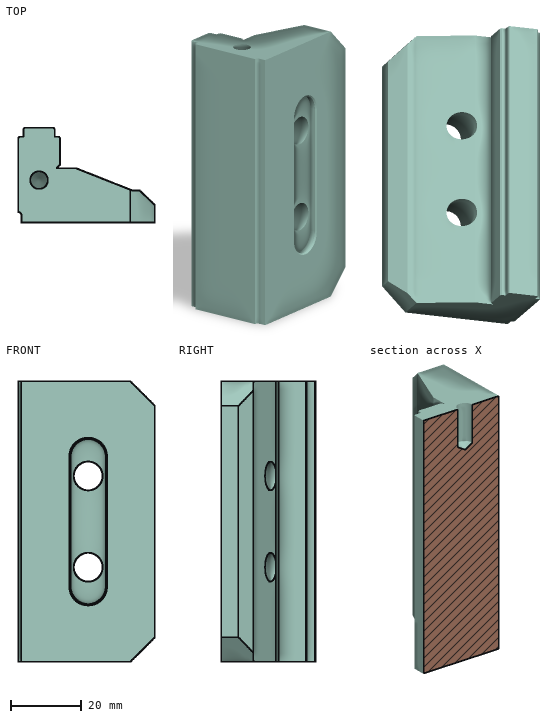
import cadquery as cq
import math

width = 39.0
depth = 27.0
height = 80.0

leg_width = 12.0
tongue_inset = 1.5
tongue_length = 2.6
edge_chamfer = 0.4
shoulder_y = depth - tongue_length

step_radius = 1.0
step_bottom = 2.0
step_top = step_bottom + step_radius

foot_y = 15.5
undercut_width = 1.0
undercut_height = 1.0
slope_start_x = 16.5
slope_end_x = 32.5
toe_y = 9.2
toe_flat_end_x = 34.6
toe_tip_y = 5.0
corner_cut = 7.0

slot_x = 20.0
slot_width = 10.0
slot_length = 47.0
slot_depth = 2.0
slot_chamfer = 0.4
hole_diameter = 8.2
hole_spacing = 26.0

end_hole_x = 6.0
end_hole_y = 12.1
end_hole_diameter = 5.0
end_hole_depth = 12.0
drill_point_angle = 118.0


def make_body():
    tongue_left = tongue_inset
    tongue_right = leg_width - tongue_inset
    outline = [
        (step_radius, 0),
        (width, 0),
        (width, toe_tip_y),
        (toe_flat_end_x, toe_y),
        (slope_end_x, toe_y),
        (slope_start_x, foot_y),
        (leg_width - undercut_width, foot_y),
        (leg_width, foot_y + undercut_height),
        (leg_width, shoulder_y - edge_chamfer),
        (leg_width - edge_chamfer, shoulder_y),
        (tongue_right, shoulder_y),
        (tongue_right, depth - edge_chamfer),
        (tongue_right - edge_chamfer, depth),
        (tongue_left + edge_chamfer, depth),
        (tongue_left, depth - edge_chamfer),
        (tongue_left, shoulder_y),
        (edge_chamfer, shoulder_y),
        (0, shoulder_y - edge_chamfer),
        (0, step_top),
    ]
    arc_offset = step_radius * math.sqrt(0.5)
    arc_middle = (arc_offset, step_bottom + arc_offset)
    profile = cq.Workplane("XY").polyline(outline)
    profile = profile.threePointArc(arc_middle, (step_radius, step_bottom)).close()
    body = profile.extrude(height)
    return body.translate((0, 0, -height / 2))


def corner_cutter(side):
    """Triangular prism removing the toe corner at the +Z or -Z end."""
    end_z = side * height / 2
    triangle = [
        (width - corner_cut, end_z),
        (width, end_z),
        (width, end_z - side * corner_cut),
    ]
    return cq.Workplane("XZ").polyline(triangle).close().extrude(-depth)


def make_slot():
    front = cq.Workplane("XZ").center(slot_x, 0)
    pocket = front.slot2D(slot_length, slot_width, 90).extrude(-slot_depth)
    mouth = front.slot2D(
        slot_length + 2 * slot_chamfer, slot_width + 2 * slot_chamfer, 90
    ).extrude(-slot_chamfer, taper=45)
    return pocket.union(mouth)


def make_through_holes():
    places = [(slot_x, -hole_spacing / 2), (slot_x, hole_spacing / 2)]
    return cq.Workplane("XZ").pushPoints(places).circle(hole_diameter / 2).extrude(-depth)


def make_end_hole():
    radius = end_hole_diameter / 2
    point_length = radius / math.tan(math.radians(drill_point_angle / 2))
    half_section = [
        (0, 0),
        (radius, 0),
        (radius, -end_hole_depth),
        (0, -end_hole_depth - point_length),
    ]
    drill = cq.Workplane("XZ").polyline(half_section).close().revolve(360, (0, 0, 0), (0, 1, 0))
    return drill.translate((end_hole_x, end_hole_y, height / 2))


result = make_body()
for side in (-1, 1):
    result = result.cut(corner_cutter(side))
result = result.cut(make_slot()).cut(make_through_holes()).cut(make_end_hole())